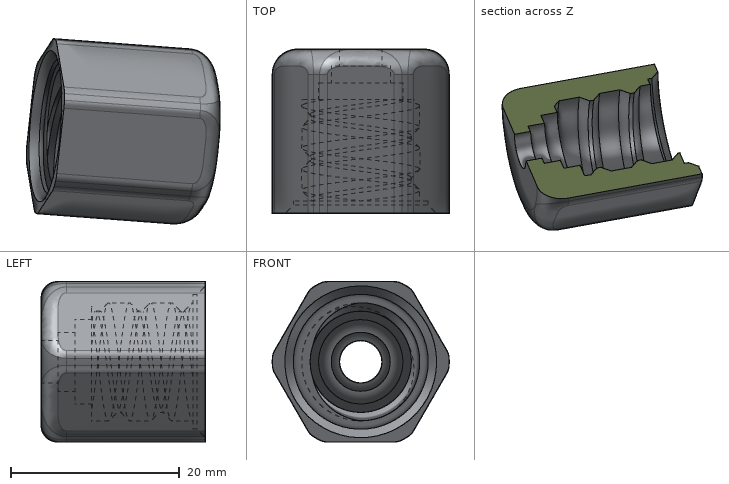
import cadquery as cq
import math

LENGTH = 19.5
ACROSS_FLATS = 19.05
BODY_DIAMETER = 21.0
END_ROUND = 3.0
FLAT_BLEND = 2.0

MOUTH_DIAMETER = 18.0
RECESS_DIAMETER = 16.0
MOUTH_CONE_DEPTH = 1.0
RECESS_DEPTH = 1.5

THREAD_MINOR_DIAMETER = 12.0
THREAD_MAJOR_DIAMETER = 14.0
THREAD_PITCH = 5.0
THREAD_CREST_WIDTH = 0.5
THREAD_END_DEPTH = 13.5

SEAT_DIAMETER = 10.0
SEAT_DEPTH = 15.5
THROAT_DIAMETER = 7.0
THROAT_DEPTH = 17.5
OUTLET_DIAMETER = 5.0

THREAD_OVERLAP = 0.2


def bore(diameter, start, end):
    """Cylinder on the nut axis between two depths."""
    return cq.Workplane("XY").workplane(offset=start).circle(diameter / 2).extrude(end - start)


def make_hexagon():
    """Hexagonal prism with two corners on the X axis."""
    corner_radius = ACROSS_FLATS / 2 / math.cos(math.pi / 6)
    return cq.Workplane("XY").polygon(6, 2 * corner_radius).extrude(LENGTH)


def make_body():
    """Hexagon trimmed by a round-ended turned envelope, with every trimmed edge blended."""
    envelope = bore(BODY_DIAMETER, 0, LENGTH).faces(">Z").edges().fillet(END_ROUND)
    hexagon = make_hexagon()
    body = hexagon.intersect(envelope)
    flats = body.faces("#Z").faces("%PLANE")
    return flats.edges("not(<Z)").fillet(FLAT_BLEND)


def make_mouth():
    """Lead-in cone followed by a short plain recess."""
    return (
        cq.Workplane("XZ")
        .moveTo(0, 0)
        .lineTo(MOUTH_DIAMETER / 2, 0)
        .lineTo(RECESS_DIAMETER / 2, MOUTH_CONE_DEPTH)
        .lineTo(RECESS_DIAMETER / 2, RECESS_DEPTH)
        .lineTo(0, RECESS_DEPTH)
        .close()
        .revolve(360, (0, 0, 0), (0, 1, 0))
    )


def make_thread_groove():
    """Right-hand trapezoidal groove with 45 degree flanks, cut off square at both ends."""
    minor_radius = THREAD_MINOR_DIAMETER / 2
    major_radius = THREAD_MAJOR_DIAMETER / 2
    inner_radius = minor_radius - THREAD_OVERLAP
    half_root = (THREAD_PITCH - THREAD_CREST_WIDTH) / 2 - (major_radius - minor_radius)
    half_opening = half_root + (major_radius - inner_radius)

    start = RECESS_DEPTH - THREAD_PITCH
    height = THREAD_END_DEPTH - RECESS_DEPTH + 2 * THREAD_PITCH
    helix = cq.Wire.makeHelix(THREAD_PITCH, height, minor_radius, cq.Vector(0, 0, start))
    groove = (
        cq.Workplane("XZ")
        .moveTo(inner_radius, start - half_opening)
        .lineTo(major_radius, start - half_root)
        .lineTo(major_radius, start + half_root)
        .lineTo(inner_radius, start + half_opening)
        .close()
        .sweep(cq.Workplane(helix), isFrenet=True)
    )
    return groove.intersect(bore(RECESS_DIAMETER, RECESS_DEPTH, THREAD_END_DEPTH))


nut = make_body().cut(make_mouth())
nut = nut.cut(bore(THREAD_MINOR_DIAMETER, 0, THREAD_END_DEPTH))
nut = nut.cut(make_thread_groove())
nut = nut.cut(bore(SEAT_DIAMETER, 0, SEAT_DEPTH))
nut = nut.cut(bore(THROAT_DIAMETER, 0, THROAT_DEPTH))
nut = nut.cut(bore(OUTLET_DIAMETER, 0, LENGTH))

result = nut.rotate((0, 0, 0), (1, 0, 0), -90)